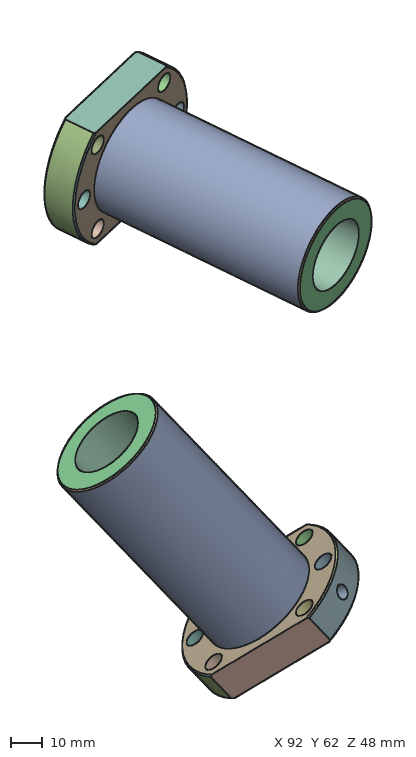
import cadquery as cq
import math

total_length = 92.0
flange_diameter = 62.0
flange_thickness = 12.0
flange_height = 48.0
body_diameter = 40.0
bore_diameter = 25.0
edge_chamfer = 0.5

bolt_hole_diameter = 6.6
bolt_circle_diameter = 51.0
bolt_spacing_angle = 45.0
bolt_angles = [side + step * bolt_spacing_angle for side in (0, 180) for step in (-1, 0, 1)]

oil_port_diameter = 5.0
oil_port_angle = -bolt_spacing_angle / 2
oil_port_x = flange_thickness / 2


def radial_direction(angle):
    """Unit vector square to the X axis, turned from +Y toward +Z by angle in degrees."""
    turn = math.radians(angle)
    return cq.Vector(0, math.cos(turn), math.sin(turn))


def cylinder_along_x(diameter, length):
    """Solid cylinder on the X axis, starting at X = 0."""
    return cq.Workplane("YZ").circle(diameter / 2).extrude(length)


def make_flange():
    """Round disc with both rims chamfered, then cut flat at top and bottom."""
    disc = cylinder_along_x(flange_diameter, flange_thickness).edges().chamfer(edge_chamfer)
    slab = cq.Workplane("YZ").rect(flange_diameter, flange_height).extrude(flange_thickness)
    return disc.intersect(slab)


def make_body():
    """Cylindrical body with its free end chamfered."""
    return cylinder_along_x(body_diameter, total_length).faces(">X").edges().chamfer(edge_chamfer)


def make_bolt_hole(angle):
    """Cutter for one bolt hole through the flange."""
    center = radial_direction(angle) * (bolt_circle_diameter / 2)
    return cylinder_along_x(bolt_hole_diameter, flange_thickness).translate(center)


def make_oil_port():
    """Cutter from the bore axis out through the flange rim."""
    start = cq.Vector(oil_port_x, 0, 0)
    direction = radial_direction(oil_port_angle)
    port = cq.Solid.makeCylinder(oil_port_diameter / 2, flange_diameter, start, direction)
    return cq.Workplane(port)


result = make_flange().union(make_body())
result = result.cut(cylinder_along_x(bore_diameter, total_length))
for bolt_angle in bolt_angles:
    result = result.cut(make_bolt_hole(bolt_angle))
result = result.cut(make_oil_port())